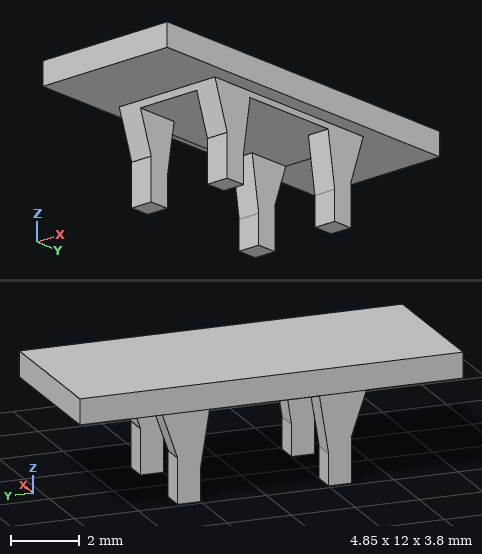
import cadquery as cq

plate_width = 4.85
plate_length = 12.0
plate_thickness = 0.8
total_height = 3.8

pad_thickness = 0.2
legs_outer_width = 3.72
legs_gap_width = 2.18

outer_top_y = 3.26
outer_foot_y = 2.72
inner_foot_y = 2.0
inner_top_y = 1.72

outer_taper_depth = 1.57
inner_taper_depth = 2.0
leg_depth = total_height - plate_thickness

plate = cq.Workplane("XY").box(
    plate_width, plate_length, plate_thickness, centered=(True, True, False)
)

legs = (
    cq.Workplane("YZ")
    .moveTo(0, 0)
    .lineTo(outer_top_y, 0)
    .lineTo(outer_foot_y, -outer_taper_depth)
    .lineTo(outer_foot_y, -leg_depth)
    .lineTo(inner_foot_y, -leg_depth)
    .lineTo(inner_foot_y, -inner_taper_depth)
    .lineTo(inner_top_y, -pad_thickness)
    .lineTo(0, -pad_thickness)
    .mirrorY()
    .extrude(legs_outer_width / 2, both=True)
)

channel = (
    cq.Workplane("XY")
    .workplane(offset=-leg_depth)
    .rect(legs_gap_width, plate_length)
    .extrude(leg_depth - pad_thickness)
)

result = plate.union(legs.cut(channel))